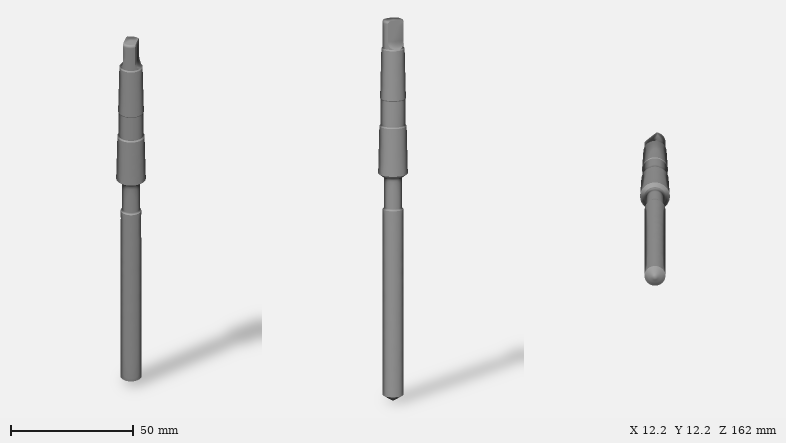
import cadquery as cq
import math

total_length = 162.0
drill_diameter = 8.6
back_taper = 0.002
point_angle = 118.0
cutting_length = 35.0
shoulder_height = 81.35
neck_diameter = 7.23
neck_fillet = 0.85

shank_length = 65.5
taper_large_diameter = 12.2
taper_ratio = 0.04988
collar_diameter = 9.0
collar_chamfer_height = 1.2

relief_diameter = 10.1
relief_bottom_height = 117.1
relief_top_height = 128.0
relief_bottom_step = 0.5
relief_top_step = 0.4

tang_diameter = 8.7
tang_thickness = 5.2
tang_length = 12.15
tang_rotation = 7.5
tang_edge_radius = 1.1
tang_crown_height = 0.3
shank_end_chamfer = 0.5
tang_flat_length = 9.0
tang_runout_radius = 4.0

drill_radius = drill_diameter / 2
point_height = drill_radius / math.tan(math.radians(point_angle / 2))
taper_bottom = total_length - shank_length
taper_top = total_length - tang_length - shank_end_chamfer


def taper_radius(height):
    """Radius of the tapered shank at a given height."""
    return (taper_large_diameter - taper_ratio * (height - taper_bottom)) / 2


def drill_radius_at(height):
    """Radius of the back-tapered drill body at a given height."""
    return drill_radius - back_taper * (height - point_height) / 2


def revolve(outline):
    """Solid of revolution about Z of a closed outline drawn in the XZ plane."""
    return outline.close().revolve(360, (0, 0, 0), (0, 1, 0))


def make_cutting_end():
    """Pointed, slightly back-tapered drill end below the joint."""
    outline = cq.Workplane("XZ").polyline([
        (0, 0),
        (drill_radius, point_height),
        (drill_radius_at(cutting_length), cutting_length),
        (0, cutting_length),
    ])
    return revolve(outline)


def make_shank_blank():
    """Upper drill body, neck, tapered shank and round tang, before the flats are milled."""
    shoulder_radius = drill_radius_at(shoulder_height)
    neck_radius = neck_diameter / 2
    fillet_center_radius = neck_radius + neck_fillet
    shoulder_arc_angle = math.acos((fillet_center_radius - shoulder_radius) / neck_fillet)
    shoulder_arc_top = shoulder_height + neck_fillet * math.sin(shoulder_arc_angle)
    collar_bottom = taper_bottom - collar_chamfer_height
    relief_radius = relief_diameter / 2
    relief_step_bottom = relief_bottom_height - relief_bottom_step
    relief_step_top = relief_top_height + relief_top_step
    tang_radius = tang_diameter / 2
    crown_radius = tang_radius - tang_edge_radius
    crown_base = total_length - tang_crown_height
    edge_center_height = crown_base - tang_edge_radius
    edge_arc_offset = tang_edge_radius * math.sqrt(0.5)
    outline = (
        cq.Workplane("XZ")
        .moveTo(0, cutting_length)
        .lineTo(drill_radius_at(cutting_length), cutting_length)
        .lineTo(shoulder_radius, shoulder_height)
        .threePointArc(
            (
                fillet_center_radius - neck_fillet * math.cos(shoulder_arc_angle / 2),
                shoulder_arc_top - neck_fillet * math.sin(shoulder_arc_angle / 2),
            ),
            (neck_radius, shoulder_arc_top),
        )
        .lineTo(neck_radius, collar_bottom - neck_fillet)
        .threePointArc(
            (
                fillet_center_radius - neck_fillet * math.sqrt(0.5),
                collar_bottom - neck_fillet * (1 - math.sqrt(0.5)),
            ),
            (fillet_center_radius, collar_bottom),
        )
        .polyline([
            (collar_diameter / 2, collar_bottom),
            (taper_radius(taper_bottom), taper_bottom),
            (taper_radius(relief_step_bottom), relief_step_bottom),
            (relief_radius, relief_bottom_height),
            (relief_radius, relief_top_height),
            (taper_radius(relief_step_top), relief_step_top),
            (taper_radius(taper_top), taper_top),
            (tang_radius, taper_top + shank_end_chamfer),
            (tang_radius, edge_center_height),
        ], includeCurrent=True)
        .threePointArc(
            (crown_radius + edge_arc_offset, edge_center_height + edge_arc_offset),
            (crown_radius, crown_base),
        )
        .lineTo(0, total_length)
    )
    return revolve(outline)


def make_tang_cutter(side):
    """Block that mills one flat of the tang, with a round runout at its lower end."""
    flat = side * tang_thickness / 2
    flat_bottom = total_length - tang_flat_length
    runout_center = flat + side * tang_runout_radius
    arc_offset = tang_runout_radius * math.sqrt(0.5)
    return (
        cq.Workplane("XZ")
        .moveTo(flat, total_length)
        .lineTo(flat, flat_bottom)
        .threePointArc(
            (runout_center - side * arc_offset, flat_bottom - arc_offset),
            (runout_center, flat_bottom - tang_runout_radius),
        )
        .lineTo(runout_center, total_length)
        .close()
        .extrude(taper_large_diameter / 2, both=True)
        .rotate((0, 0, 0), (0, 0, 1), tang_rotation)
    )


def make_shank():
    """Shank with the two tang flats milled on opposite sides."""
    shank = make_shank_blank()
    for side in (-1, 1):
        shank = shank.cut(make_tang_cutter(side))
    return shank


cutting_end = make_cutting_end()
shank = make_shank()

result = cq.Compound.makeCompound([cutting_end.val(), shank.val()])